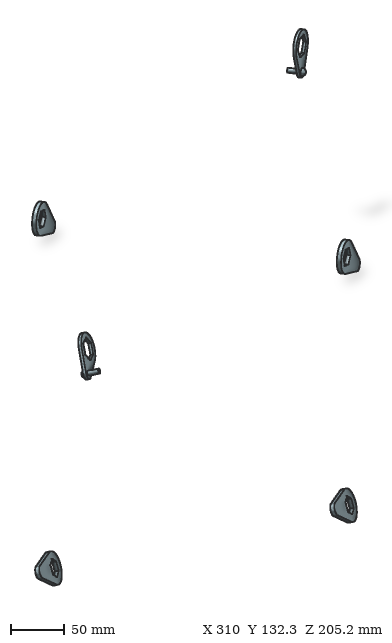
import cadquery as cq
import math

SPAN_X = 310.0
SPAN_Y = 132.3
SPAN_Z = 205.2

SIDE_THICKNESS = 4.3
SIDE_HEAD_RADIUS = 16.0
SIDE_TIP_RADIUS = 6.2
SIDE_REACH = 32.5
SIDE_TIP_DROP = 31.0
SIDE_HEX_FLATS = 15.8
SIDE_HEX_TURN = 23.0

PIN_LEVER_X = 223.5
PIN_LEVER_THICKNESS = 3.0
PIN_LEVER_HEAD_RADIUS = 15.8
PIN_LEVER_TIP_RADIUS = 5.5
PIN_LEVER_REACH = 25.7
PIN_LEVER_TIP_DROP = 90.0
PIN_LEVER_HEX_FLATS = 19.0
PIN_LEVER_HEX_TURN = 34.0

SHANK_DIAMETER = 5.0
SHANK_LENGTH = 11.2
DOME_DIAMETER = 7.7
DOME_HEIGHT = 3.7

side_bottom = -SIDE_REACH * math.sin(math.radians(SIDE_TIP_DROP)) - SIDE_TIP_RADIUS
pin_lever_y = SPAN_Y - SIDE_HEAD_RADIUS - PIN_LEVER_HEAD_RADIUS
pin_lever_z = SPAN_Z + side_bottom - PIN_LEVER_HEAD_RADIUS


def polar(radius, angle):
    """Point at a distance and angle (degrees) from the origin."""
    return radius * math.cos(math.radians(angle)), radius * math.sin(math.radians(angle))


def lever_plate(head_radius, tip_radius, reach, thickness, hex_flats, hex_turn):
    """Teardrop plate on YZ with its head at the origin, its tip along +Y and a hexagonal hole.

    hex_turn is the angle from the tip direction to a corner of the hexagon.
    """
    tangent_angle = math.degrees(math.acos((head_radius - tip_radius) / reach))
    head_y, head_z = polar(head_radius, tangent_angle)
    tip_y, tip_z = polar(tip_radius, tangent_angle)
    tip_y += reach
    outline = (
        cq.Workplane("YZ")
        .moveTo(head_y, head_z)
        .threePointArc((-head_radius, 0), (head_y, -head_z))
        .lineTo(tip_y, -tip_z)
        .threePointArc((reach + tip_radius, 0), (tip_y, tip_z))
        .close()
    )
    hexagon = (
        cq.Workplane("YZ")
        .transformed(rotate=(0, 0, hex_turn))
        .polygon(6, hex_flats / math.cos(math.pi / 6))
        .extrude(thickness)
    )
    return outline.extrude(thickness).cut(hexagon)


def aim_tip(body, tip_drop):
    """Swing the tip from +Y to its direction in the YZ plane."""
    return body.rotate((0, 0, 0), (1, 0, 0), -tip_drop)


def side_lever(x):
    """Plain lever with its -X face at the given X."""
    plate = lever_plate(
        SIDE_HEAD_RADIUS, SIDE_TIP_RADIUS, SIDE_REACH, SIDE_THICKNESS, SIDE_HEX_FLATS, SIDE_HEX_TURN
    )
    return aim_tip(plate, SIDE_TIP_DROP).translate((x, 0, 0))


def headed_pin():
    """Shank through the plate toward -X, with a domed head on the +X face of the plate."""
    shank_radius = SHANK_DIAMETER / 2
    dome_base_radius = DOME_DIAMETER / 2
    dome_sphere_radius = (dome_base_radius**2 + DOME_HEIGHT**2) / (2 * DOME_HEIGHT)
    dome_centre_x = PIN_LEVER_THICKNESS + DOME_HEIGHT - dome_sphere_radius
    rim_angle = math.degrees(math.atan2(dome_base_radius, PIN_LEVER_THICKNESS - dome_centre_x))
    arc_x, arc_y = polar(dome_sphere_radius, rim_angle / 2)
    return (
        cq.Workplane("XY")
        .moveTo(-SHANK_LENGTH, 0)
        .lineTo(-SHANK_LENGTH, shank_radius)
        .lineTo(PIN_LEVER_THICKNESS, shank_radius)
        .lineTo(PIN_LEVER_THICKNESS, dome_base_radius)
        .threePointArc((dome_centre_x + arc_x, arc_y), (PIN_LEVER_THICKNESS + DOME_HEIGHT, 0))
        .close()
        .revolve(360, (0, 0, 0), (1, 0, 0))
    )


def pin_lever():
    """Upper lever, one piece with the pin at its tip centre."""
    plate = lever_plate(
        PIN_LEVER_HEAD_RADIUS,
        PIN_LEVER_TIP_RADIUS,
        PIN_LEVER_REACH,
        PIN_LEVER_THICKNESS,
        PIN_LEVER_HEX_FLATS,
        PIN_LEVER_HEX_TURN,
    )
    body = plate.union(headed_pin().translate((0, PIN_LEVER_REACH, 0)))
    return aim_tip(body, PIN_LEVER_TIP_DROP).translate((PIN_LEVER_X, pin_lever_y, pin_lever_z))


side_levers = [side_lever(x) for x in (0, SPAN_X - SIDE_THICKNESS)]
upper_lever = pin_lever()

result = cq.Compound.makeCompound([*(lever.val() for lever in side_levers), upper_lever.val()])